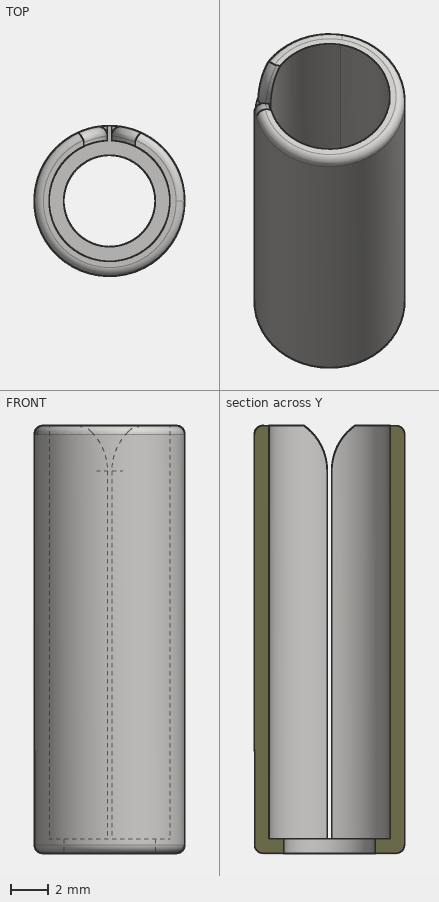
import cadquery as cq
import math

length = 23.0
outer_radius = 8.1 / 2
bore_radius = 3.25
wall = outer_radius - bore_radius
floor_thickness = wall
floor_hole_diameter = 4.9
edge_radius = 0.48

slit_width = 0.23
mouth_half_width = 1.38
mouth_depth = 2.44
slit_reach = 2 * outer_radius

tolerance = 0.002


def make_cup():
    """Tube with an inner floor that is pierced by a smaller hole."""
    cup = cq.Workplane("XY").circle(outer_radius).extrude(length)
    bore = (
        cq.Workplane("XY")
        .workplane(offset=floor_thickness)
        .circle(bore_radius)
        .extrude(length - floor_thickness)
    )
    floor_hole = cq.Workplane("XY").circle(floor_hole_diameter / 2).extrude(length)
    return cup.cut(bore).cut(floor_hole)


def make_mouth():
    """Opening at the rim with sides that curve away from the slit walls."""
    half_width = slit_width / 2
    flare = mouth_half_width - half_width
    flare_radius = (flare**2 + mouth_depth**2) / (2 * flare)
    half_angle = math.asin(mouth_depth / flare_radius) / 2
    middle_x = half_width + flare_radius * (1 - math.cos(half_angle))
    mouth_bottom = length - mouth_depth
    middle_z = mouth_bottom + flare_radius * math.sin(half_angle)
    return (
        cq.Workplane("XZ")
        .moveTo(-half_width, mouth_bottom)
        .lineTo(half_width, mouth_bottom)
        .threePointArc((middle_x, middle_z), (mouth_half_width, length))
        .lineTo(-mouth_half_width, length)
        .threePointArc((-middle_x, middle_z), (-half_width, mouth_bottom))
        .close()
        .extrude(-slit_reach)
    )


def make_slit():
    """Narrow straight slit from the floor up to the mouth."""
    slit_height = length - mouth_depth - floor_thickness
    return (
        cq.Workplane("XY")
        .workplane(offset=floor_thickness)
        .center(0, slit_reach / 2)
        .rect(slit_width, slit_reach)
        .extrude(slit_height)
    )


def is_outer_edge(edge):
    """True for the outside edges of the ends and of the two mouth sides."""
    middle = edge.positionAt(0.5)
    on_outer_face = math.isclose(math.hypot(middle.x, middle.y), outer_radius, abs_tol=tolerance)
    on_end = edge.BoundingBox().zlen < tolerance
    on_mouth_floor = on_end and math.isclose(middle.z, length - mouth_depth, abs_tol=tolerance)
    on_seam = edge.BoundingBox().zlen > mouth_depth + tolerance
    return on_outer_face and not on_mouth_floor and not on_seam


def round_outer_edges(body):
    """Round the outside of both ends, continuing down the mouth sides."""
    outer_edges = [edge for edge in body.edges().vals() if is_outer_edge(edge)]
    return body.newObject(outer_edges).fillet(edge_radius)


result = round_outer_edges(make_cup().cut(make_mouth())).cut(make_slit())